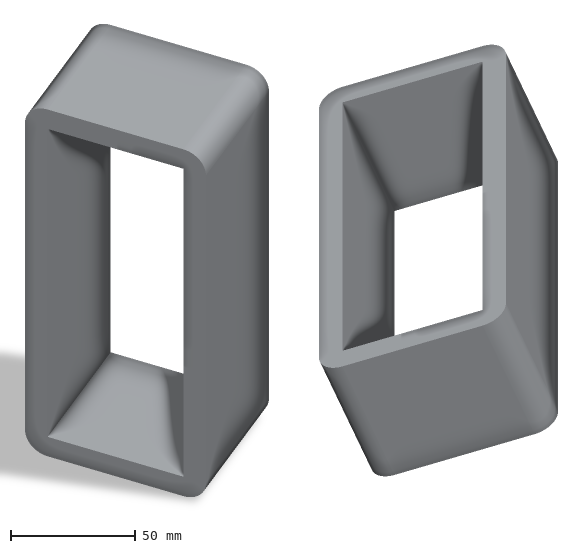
import cadquery as cq

width = 80.5
depth = 60.0
height = 179.5
wall = 10.0

corner_radius = wall


def rounded_block():
    """Solid block with its four edges along Y rounded."""
    return cq.Workplane("XY").box(width, depth, height).edges("|Y").fillet(corner_radius)


def opening():
    """Sharp-cornered rectangular passage through the full depth."""
    return cq.Workplane("XY").box(width - 2 * wall, depth, height - 2 * wall)


result = rounded_block().cut(opening())